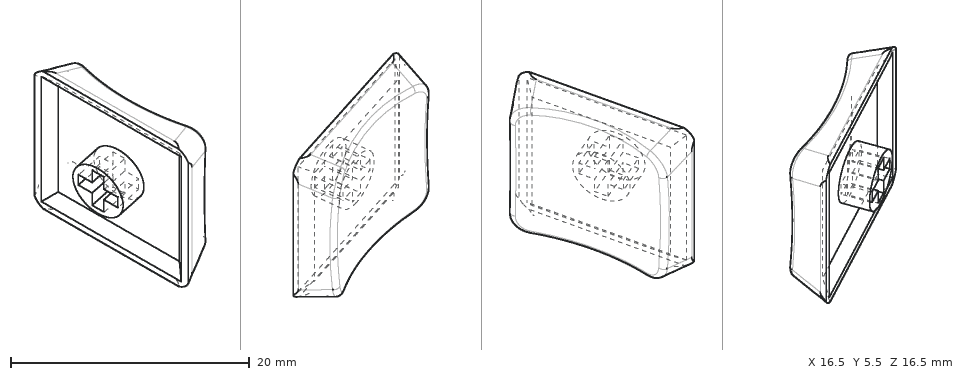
import cadquery as cq
import math

cap_width = 16.5
band_height = 0.51
wall_angle = 16.8
corner_radius = 1.98
crown_edge_radius = 0.5

dish_radius_x = 17.16
dish_radius_z = 62.7
dish_floor_height = 2.05
blank_height = 4.95

cavity_mouth = 15.0
cavity_floor = 13.0
cavity_depth = 1.0

stem_diameter = 5.4
stem_projection = 1.78
cross_length = 4.2
cross_arm_width = 1.25
cross_depth = stem_projection + cavity_depth


def plane_at(height):
    """Plane at the given Y whose normal points to +Y."""
    return cq.Workplane("ZX", origin=(0, height, 0))


def tapered_square(base_width, top_width, height):
    return (
        plane_at(0)
        .rect(base_width, base_width)
        .workplane(offset=height)
        .rect(top_width, top_width)
        .loft(ruled=True)
    )


def dish_cutter():
    """Ring of revolution whose outer surface forms the concave crown."""
    half_width = cap_width / 2
    arc_rise = dish_radius_x - math.sqrt(dish_radius_x**2 - half_width**2)
    arc_end_height = dish_floor_height + arc_rise
    axis_height = dish_floor_height + dish_radius_z
    return (
        cq.Workplane("XY")
        .moveTo(-half_width, axis_height)
        .lineTo(-half_width, arc_end_height)
        .threePointArc((0, dish_floor_height), (half_width, arc_end_height))
        .lineTo(half_width, axis_height)
        .close()
        .revolve(360, (-half_width, axis_height), (half_width, axis_height))
    )


def cap_body():
    slope = math.tan(math.radians(wall_angle))
    base_width = cap_width + 2 * band_height * slope
    top_width = base_width - 2 * blank_height * slope
    body = tapered_square(base_width, top_width, blank_height)
    body = body.edges("not(|X or |Z)").fillet(corner_radius)
    body = body.cut(dish_cutter())
    crown_center = (0, dish_floor_height, 0)
    crown = body.faces(cq.selectors.NearestToPointSelector(crown_center))
    body = crown.edges().fillet(crown_edge_radius)
    band_block = plane_at(0).rect(cap_width, cap_width).extrude(blank_height)
    return body.intersect(band_block)


def stem():
    return plane_at(-stem_projection).circle(stem_diameter / 2).extrude(stem_projection + cavity_depth)


def cross_socket():
    face = plane_at(-stem_projection)
    upright = face.rect(cross_arm_width, cross_length).extrude(cross_depth)
    crossbar = face.rect(cross_length, cross_arm_width).extrude(cross_depth)
    return upright.union(crossbar)


cavity = tapered_square(cavity_mouth, cavity_floor, cavity_depth)
result = cap_body().cut(cavity).union(stem()).cut(cross_socket())